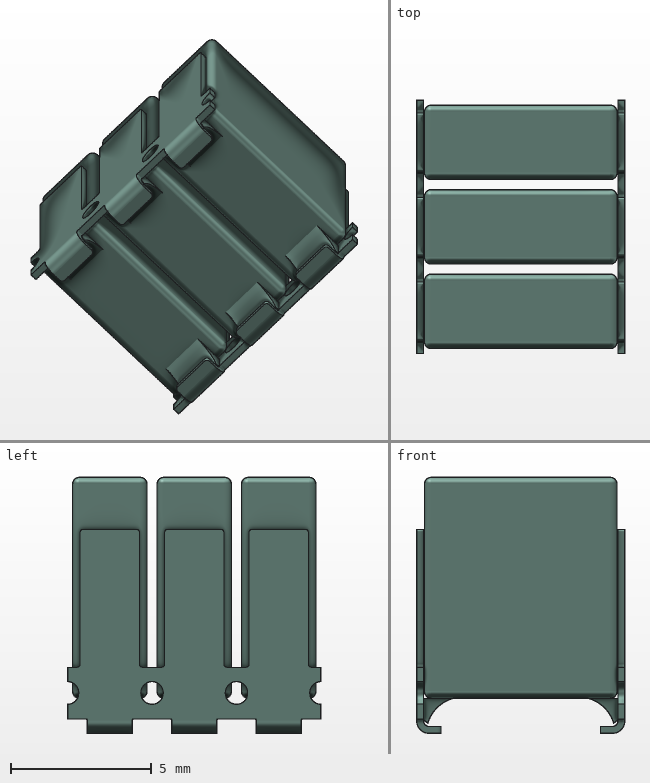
import cadquery as cq
import math

total_width = 7.4
total_depth = 9.0
total_height = 9.1
chip_count = 3
pitch = total_depth / chip_count

chip_width = 6.85
chip_depth = 2.65
chip_bottom = 1.25
chip_edge_radius = 0.25

sheet = 0.25
half_width = total_width / 2
inner_x = half_width - sheet
rail_bottom = 0.51
rail_top = 2.35
prong_top = 7.25
prong_depth = 2.1
prong_tip_radius = 0.1
prong_root_radius = 0.12
hole_diameter = 0.8
hole_height = 1.44

foot_depth = 1.6
foot_reach = 0.87
bend_outer_radius = 0.45
bend_inner_radius = bend_outer_radius - sheet
foot_corner_radius = 0.13
foot_root_radius = 0.05

gusset_depth = 1.6
gusset_reach = 1.07
gusset_root_height = 0.48
gusset_tip_inset = 0.15
gusset_tip_height = 0.36
gusset_arc_radius = 1.3

chip_positions = [(i - (chip_count - 1) / 2) * pitch for i in range(chip_count)]
hole_positions = [(i - chip_count / 2) * pitch for i in range(chip_count + 1)]


def chip(y):
    """Block with all edges rounded."""
    height = total_height - chip_bottom
    return (
        cq.Workplane("XY")
        .box(chip_width, chip_depth, height, centered=(True, True, False))
        .edges()
        .fillet(chip_edge_radius)
        .translate((0, y, chip_bottom))
    )


def plate(depth, bottom, top, y=0):
    """Upright piece of frame sheet on the -X side."""
    return (
        cq.Workplane("XY")
        .box(sheet, depth, top - bottom, centered=(False, True, False))
        .translate((-half_width, y, bottom))
    )


def inner_corners(body, z):
    """Edges along X at height z, leaving out the two ends of the frame."""
    y_limit = total_depth / 2 - sheet
    margin = sheet / 10
    band = cq.selectors.BoxSelector(
        (-total_width, -y_limit, z - margin), (total_width, y_limit, z + margin)
    )
    return body.edges("|X").edges(band)


def upright_sheet():
    """Rail with one prong per chip, round holes between the chips and half holes at the ends."""
    body = plate(total_depth, rail_bottom, rail_top)
    for y in chip_positions:
        body = body.union(plate(prong_depth, rail_bottom, prong_top, y))
    body = inner_corners(body, prong_top).fillet(prong_tip_radius)
    body = inner_corners(body, rail_top).fillet(prong_root_radius)
    holes = (
        cq.Workplane("YZ", origin=(-half_width, 0, 0))
        .pushPoints([(y, hole_height) for y in hole_positions])
        .circle(hole_diameter / 2)
        .extrude(sheet)
    )
    return body.cut(holes)


def foot(y):
    """Bent strip below the rail, ending in a flat solder foot."""
    bend_x = -half_width + bend_outer_radius
    diagonal = math.sqrt(0.5)
    toe_x = -half_width + foot_reach
    strip = (
        cq.Workplane("XZ", origin=(0, y, 0))
        .moveTo(-half_width, rail_bottom)
        .lineTo(-half_width, bend_outer_radius)
        .threePointArc(
            (bend_x - diagonal * bend_outer_radius, bend_outer_radius * (1 - diagonal)), (bend_x, 0)
        )
        .lineTo(toe_x, 0)
        .lineTo(toe_x, sheet)
        .lineTo(bend_x, sheet)
        .threePointArc(
            (bend_x - diagonal * bend_inner_radius, bend_outer_radius - diagonal * bend_inner_radius),
            (-inner_x, bend_outer_radius),
        )
        .lineTo(-inner_x, rail_bottom)
        .close()
        .extrude(foot_depth / 2, both=True)
    )
    return strip.edges("|Z").edges(">X").fillet(foot_corner_radius)


def gusset(y):
    """Concave web joining the frame to the underside of a chip."""
    return (
        cq.Workplane("XZ", origin=(-inner_x, y, 0))
        .moveTo(0, chip_bottom)
        .lineTo(0, gusset_root_height)
        .lineTo(gusset_tip_inset, gusset_tip_height)
        .radiusArc((gusset_reach, chip_bottom), gusset_arc_radius)
        .close()
        .extrude(gusset_depth / 2, both=True)
    )


def lead_frame():
    """Complete frame on the -X side, with a foot and a gusset below each chip."""
    body = upright_sheet()
    for y in chip_positions:
        body = body.union(foot(y))
    body = inner_corners(body, rail_bottom).fillet(foot_root_radius)
    for y in chip_positions:
        body = body.union(gusset(y))
    return body


frame = lead_frame()
result = frame.union(frame.mirror("YZ"))
for chip_y in chip_positions:
    result = result.union(chip(chip_y))